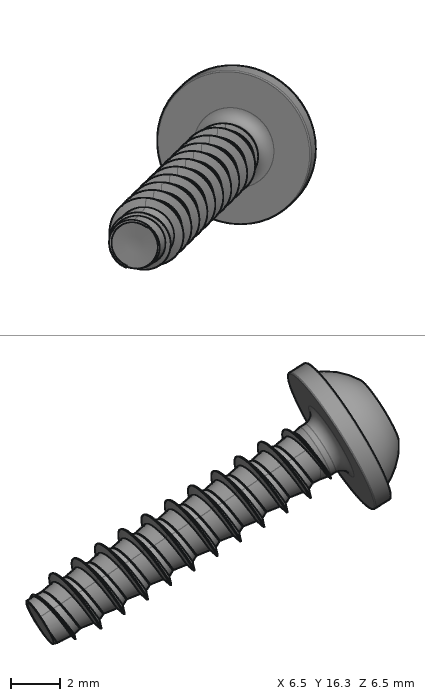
import math

import cadquery as cq


flange_diameter = 6.5
flange_thickness = 0.8
flange_edge_radius = 0.05
head_height = 2.3
head_overlap_y = flange_thickness / 2
dome_base_radius = 2.78
dome_flat_radius = 1.5

shank_length = 14.0
neck_radius = 1.16
neck_fillet_radius = 0.53
neck_length = 0.78
neck_taper_end = 1.4
core_radius = 1.042
tip_taper_length = 0.15
tip_radius = 1.0
tip_dimple_depth = 0.08

pitch = 1.12
crest_radius = 1.5
crest_half_width = 0.02

thread_start = 0.57
full_thread_start = 1.82
full_thread_end = 12.45
thread_end = 13.95

thread_start_height = 0.4
thread_end_height = 0.05
foot_radius = 0.95
points_per_turn = 16
min_rail_steps = 4

root_radius = core_radius + 0.004
head_side_root = -0.39
tip_side_root = 0.70
foot_inset = 0.05
head_flank_width = 0.14
head_flank_radius = 1.16
tip_flank_width = 0.13
tip_flank_radius = 1.145

thread_section = [
    (head_side_root + foot_inset, foot_radius),
    (head_side_root, root_radius),
    (-head_flank_width, head_flank_radius),
    (-crest_half_width, crest_radius),
    (crest_half_width, crest_radius),
    (tip_flank_width, tip_flank_radius),
    (tip_side_root, root_radius),
    (tip_side_root - foot_inset, foot_radius),
]


def dome_arc_midpoint():
    """Point halfway up the spherical dome, whose centre lies on the screw axis."""
    rise = head_height - flange_thickness
    centre_y = (
        (head_height + flange_thickness) / 2
        - (dome_base_radius**2 - dome_flat_radius**2) / (2 * rise)
    )
    sphere_radius = math.hypot(dome_flat_radius, head_height - centre_y)
    mid_y = flange_thickness + rise / 2
    return math.sqrt(sphere_radius**2 - (mid_y - centre_y) ** 2), mid_y


def make_head():
    """Round washer flange with a flat-topped dome."""
    flange_radius = flange_diameter / 2
    flange = (
        cq.Workplane("XZ")
        .circle(flange_radius)
        .extrude(-flange_thickness)
        .edges()
        .fillet(flange_edge_radius)
    )
    dome = (
        cq.Workplane("XY")
        .moveTo(0, head_overlap_y)
        .lineTo(dome_base_radius, head_overlap_y)
        .lineTo(dome_base_radius, flange_thickness)
        .threePointArc(dome_arc_midpoint(), (dome_flat_radius, head_height))
        .lineTo(0, head_height)
        .close()
        .revolve(360, (0, 0, 0), (0, 1, 0))
    )
    return flange.union(dome)


def make_shank():
    """Filleted neck, tapered run-in, cylindrical core and a tapered tip with a conical dimple."""
    fillet_outer = neck_radius + neck_fillet_radius
    fillet_mid = neck_fillet_radius * (1 - math.sqrt(0.5))
    return (
        cq.Workplane("XY")
        .moveTo(0, head_overlap_y)
        .lineTo(fillet_outer, head_overlap_y)
        .lineTo(fillet_outer, 0)
        .threePointArc((neck_radius + fillet_mid, -fillet_mid), (neck_radius, -neck_fillet_radius))
        .lineTo(neck_radius, -neck_length)
        .lineTo(core_radius, -neck_taper_end)
        .lineTo(core_radius, tip_taper_length - shank_length)
        .lineTo(tip_radius, -shank_length)
        .lineTo(0, tip_dimple_depth - shank_length)
        .close()
        .revolve(360, (0, 0, 0), (0, 1, 0))
    )


def thread_height(depth):
    """Share of the full thread height at a crest depth below the bearing face."""
    if depth < full_thread_start:
        progress = (full_thread_start - depth) / (full_thread_start - thread_start)
        return 1 - progress * (1 - thread_start_height)
    if depth > full_thread_end:
        progress = (depth - full_thread_end) / (thread_end - full_thread_end)
        return 1 - progress * (1 - thread_end_height)
    return 1.0


def thread_point(depth, offset, radius):
    """Point of the thread section where the crest is at the given depth.

    Near both thread ends the crest and flanks shrink toward the root, which keeps its place.
    """
    if radius > root_radius:
        radius = root_radius + (radius - root_radius) * thread_height(depth)
        offset *= thread_height(depth)
    angle = 2 * math.pi * (depth - thread_start) / pitch
    return cq.Vector(radius * math.sin(angle), -depth - offset, -radius * math.cos(angle))


def helical_faces(start, end):
    """Ruled faces of the thread between two crest depths, one face per side of the section."""
    steps = max(min_rail_steps, round((end - start) / pitch * points_per_turn))
    depths = [start + (end - start) * i / steps for i in range(steps + 1)]
    rails = [
        cq.Edge.makeSpline([thread_point(depth, offset, radius) for depth in depths])
        for offset, radius in thread_section
    ]
    next_rails = rails[1:] + rails[:1]
    return [cq.Face.makeRuledSurface(rail, other) for rail, other in zip(rails, next_rails)]


def end_face(depth):
    """Flat face closing the thread at the given crest depth."""
    corners = [thread_point(depth, offset, radius) for offset, radius in thread_section]
    return cq.Face.makeFromWires(cq.Wire.makePolygon(corners, close=True))


def make_thread():
    """Helical rib, built in single turns that meet on the +Z side and cut off flush at the tip."""
    first_joint = thread_start + pitch / 2
    turn_count = math.ceil((thread_end - first_joint) / pitch)
    joints = [first_joint + pitch * i for i in range(turn_count)]
    starts = [thread_start] + joints
    ends = joints + [thread_end]

    faces = [end_face(thread_start), end_face(thread_end)]
    for start, end in zip(starts, ends):
        faces += helical_faces(start, end)
    rib = cq.Solid.makeSolid(cq.Shell.makeShell(faces))
    tip_limit = cq.Workplane("XZ").circle(flange_diameter / 2).extrude(shank_length)
    return cq.Workplane(rib.fix()).intersect(tip_limit)


result = make_shank().union(make_thread()).union(make_head())